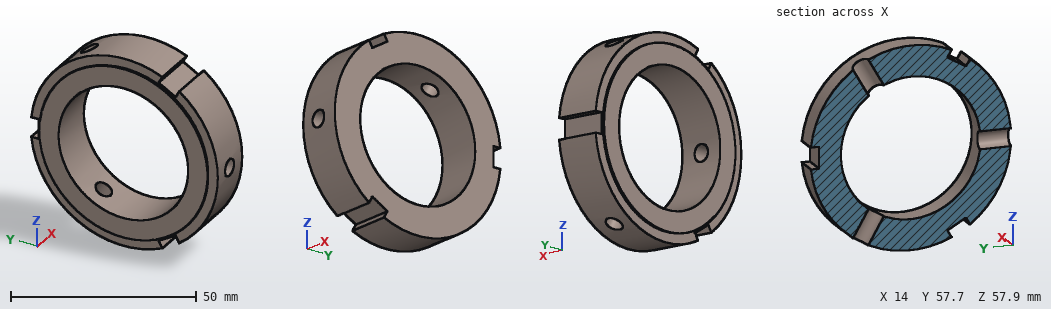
import cadquery as cq

outer_diameter = 57.85
bore_diameter = 40.0
total_width = 14.0
face_diameter = 52.0
face_height = 0.5

count = 3
pitch_angle = 360 / count
slot_width = 6.0
slot_depth = 2.5
hole_diameter = 4.9

outer_radius = outer_diameter / 2
slot_floor_radius = outer_radius - slot_depth
cutter_overrun = 0.6


def disc(diameter, start_x, width):
    """Solid disc along X, beginning at start_x."""
    return cq.Workplane("YZ", origin=(start_x, 0, 0)).circle(diameter / 2).extrude(width)


def slot_cutter(angle):
    """Flat-floored slot across the full width; angle is measured from +Y toward +Z."""
    cutter_depth = slot_depth + cutter_overrun
    box = cq.Workplane("XY").box(total_width, cutter_depth, slot_width, centered=(False, False, True))
    return box.translate((0, slot_floor_radius, 0)).rotate((0, 0, 0), (1, 0, 0), angle)


def hole_cutter(angle):
    """Radial hole from the ring axis outward, midway along the total width."""
    length = outer_radius + cutter_overrun
    hole = cq.Workplane("XZ").center(total_width / 2, 0).circle(hole_diameter / 2).extrude(-length)
    return hole.rotate((0, 0, 0), (1, 0, 0), angle)


body = disc(outer_diameter, face_height, total_width - face_height)
raised_face = disc(face_diameter, 0, total_width)
bore = disc(bore_diameter, 0, total_width)
result = body.union(raised_face).cut(bore)

for index in range(count):
    slot_angle = index * pitch_angle
    hole_angle = slot_angle + pitch_angle / 2
    result = result.cut(slot_cutter(slot_angle)).cut(hole_cutter(hole_angle))